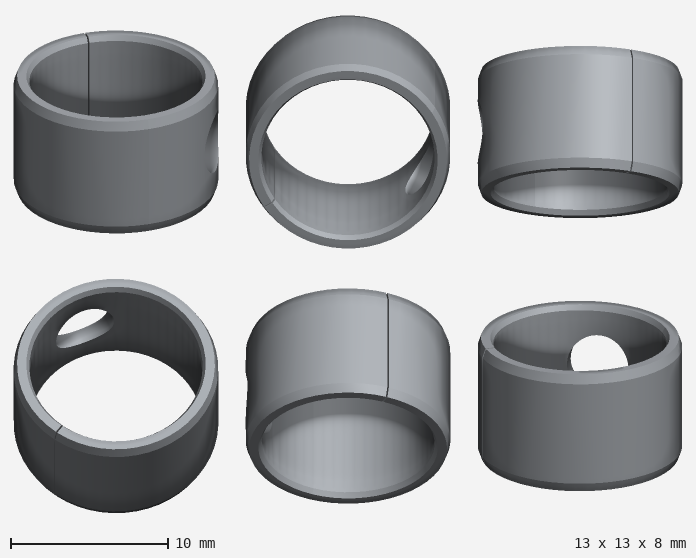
import cadquery as cq
import math

outer_diameter = 13.0
inner_diameter = 11.0
height = 8.0

outer_bevel_height = 0.6
outer_bevel_angle = 20.0
bore_bevel_depth = 0.2
bore_bevel_height = 0.34

split_width = 0.1

hole_diameter = 4.0
hole_angle = 59.0

outer_radius = outer_diameter / 2
inner_radius = inner_diameter / 2
half_height = height / 2
outer_bevel_depth = outer_bevel_height * math.tan(math.radians(outer_bevel_angle))


def bevelled_ring():
    """Revolve the wall section, centred on the origin, about Z."""
    section = [
        (inner_radius, -half_height + bore_bevel_height),
        (inner_radius + bore_bevel_depth, -half_height),
        (outer_radius - outer_bevel_depth, -half_height),
        (outer_radius, -half_height + outer_bevel_height),
        (outer_radius, half_height - outer_bevel_height),
        (outer_radius - outer_bevel_depth, half_height),
        (inner_radius + bore_bevel_depth, half_height),
        (inner_radius, half_height - bore_bevel_height),
    ]
    return cq.Workplane("XZ").polyline(section).close().revolve(360, (0, 0), (0, 1))


def split_cutter():
    """Thin slab from the axis out through the -X wall."""
    slab = cq.Workplane("XY").box(outer_diameter, split_width, 2 * height)
    return slab.translate((-outer_radius, split_width / 2, 0))


def hole_cutter():
    """Cylinder from the axis out through one side of the wall."""
    cylinder = cq.Workplane("YZ").circle(hole_diameter / 2).extrude(outer_diameter)
    return cylinder.rotate((0, 0, 0), (0, 0, 1), hole_angle)


result = bevelled_ring().cut(split_cutter()).cut(hole_cutter())